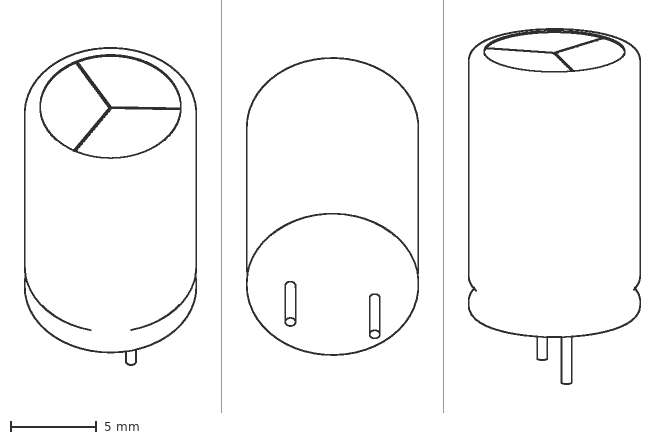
import cadquery as cq
import math

can_diameter = 10.0
can_height = 16.01
edge_radius = 0.6

groove_center_height = 1.6
shoulder_radius = 0.6
throat_radius = 0.5
groove_angle = math.radians(45)

recess_diameter = 8.2
recess_depth = 0.1
slot_count = 3
slot_width = 0.1
slot_depth = 0.1
first_slot_angle = 180

lead_diameter = 0.6
lead_length = 3.4
lead_pitch = 4.99
lead_embed = 0.39

can_radius = can_diameter / 2
shoulder_rise = shoulder_radius * math.sin(groove_angle)
shoulder_depth = shoulder_radius * (1 - math.cos(groove_angle))
throat_rise = throat_radius * math.sin(groove_angle)
throat_depth = throat_radius * (1 - math.cos(groove_angle))


def arc_middle(center, radius, angle):
    """Point (r, z) on an arc at the given angle from the outward direction."""
    return (center[0] + radius * math.cos(angle), center[1] + radius * math.sin(angle))


def make_can():
    """Revolve the half section of the can, including its groove and rounded rims."""
    rim_radius = can_radius - edge_radius
    flank_radius = can_radius - shoulder_depth
    neck_radius = flank_radius - throat_depth
    lower_flank = groove_center_height - throat_rise
    upper_flank = groove_center_height + throat_rise
    groove_bottom = lower_flank - shoulder_rise
    groove_top = upper_flank + shoulder_rise

    shoulder_center = can_radius - shoulder_radius
    rim_half_angle = math.radians(45)
    bottom_rim_middle = arc_middle((rim_radius, edge_radius), edge_radius, -rim_half_angle)
    top_rim_middle = arc_middle((rim_radius, can_height - edge_radius), edge_radius, rim_half_angle)
    lower_shoulder_middle = arc_middle(
        (shoulder_center, groove_bottom), shoulder_radius, groove_angle / 2
    )
    upper_shoulder_middle = arc_middle(
        (shoulder_center, groove_top), shoulder_radius, -groove_angle / 2
    )

    section = (
        cq.Workplane("XZ")
        .lineTo(rim_radius, 0)
        .threePointArc(bottom_rim_middle, (can_radius, edge_radius))
        .lineTo(can_radius, groove_bottom)
        .threePointArc(lower_shoulder_middle, (flank_radius, lower_flank))
        .threePointArc((neck_radius, groove_center_height), (flank_radius, upper_flank))
        .threePointArc(upper_shoulder_middle, (can_radius, groove_top))
        .lineTo(can_radius, can_height - edge_radius)
        .threePointArc(top_rim_middle, (rim_radius, can_height))
        .lineTo(0, can_height)
        .close()
    )
    return section.revolve(360, (0, 0, 0), (0, 1, 0))


def make_slot_star():
    """Three radial slots that meet at the center of the top face."""
    length = recess_diameter / 2
    star = cq.Workplane("XY")
    for index in range(slot_count):
        slot = (
            cq.Workplane("XY", origin=(0, 0, can_height - recess_depth - slot_depth))
            .rect(length, slot_width)
            .extrude(slot_depth)
            .translate((length / 2, 0, 0))
            .rotate((0, 0, 0), (0, 0, 1), first_slot_angle + index * 360 / slot_count)
        )
        star = star.add(slot)
    return star.combine()


def make_recess():
    """Shallow round recess in the top face."""
    return (
        cq.Workplane("XY", origin=(0, 0, can_height - recess_depth))
        .circle(recess_diameter / 2)
        .extrude(recess_depth)
    )


def make_leads():
    """Two round leads below the can, rooted inside it so that they join."""
    return (
        cq.Workplane("XY", origin=(0, 0, -lead_length))
        .pushPoints([(-lead_pitch / 2, 0), (lead_pitch / 2, 0)])
        .circle(lead_diameter / 2)
        .extrude(lead_length + lead_embed)
    )


result = make_can().cut(make_recess()).cut(make_slot_star()).union(make_leads())